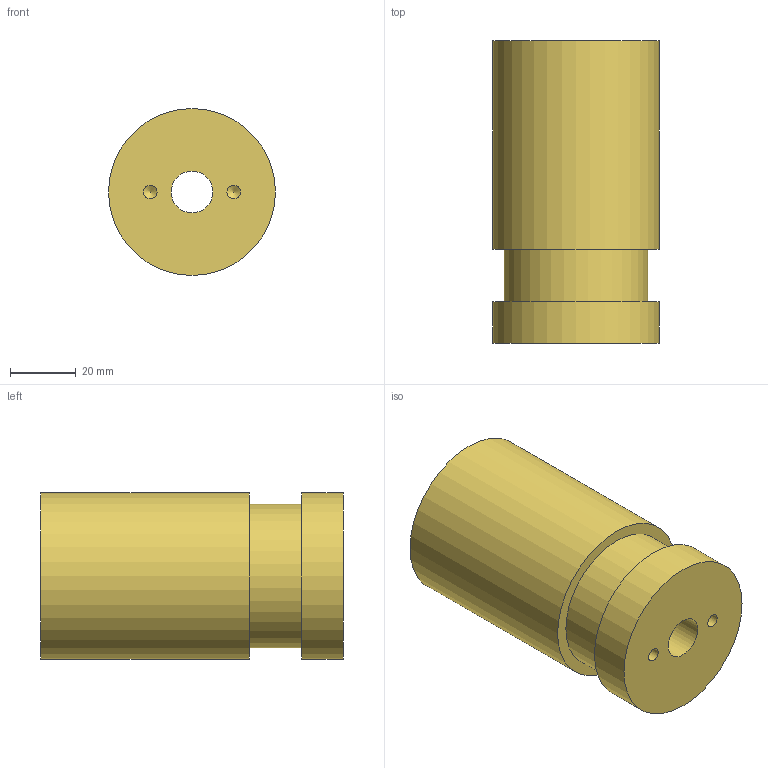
import math

import cadquery as cq

body_diameter = 50.8
neck_diameter = 43.66
bore_diameter = 12.7
head_length = 12.7
neck_length = 15.875
barrel_length = 63.5

drill_diameter = 4.1
drill_spacing = 25.4
drill_depth = head_length
drill_point_angle = 118

total_length = head_length + neck_length + barrel_length
front_y = -total_length / 2
neck_y = front_y + head_length
barrel_y = neck_y + neck_length


def cylinder(diameter, start_y, length):
    """Cylinder around the Y axis, growing toward +Y from start_y."""
    base = cq.Workplane("XZ", origin=(0, start_y, 0))
    return base.circle(diameter / 2).extrude(-length)


def drilled_hole(x):
    """Cutter for a blind hole with a conical bottom, entering the front face at x."""
    radius = drill_diameter / 2
    point_length = radius / math.tan(math.radians(drill_point_angle / 2))
    half_section = (
        cq.Workplane("XY", origin=(x, front_y, 0))
        .lineTo(radius, 0)
        .lineTo(radius, drill_depth)
        .lineTo(0, drill_depth + point_length)
        .close()
    )
    return half_section.revolve(360, (0, 0, 0), (0, 1, 0))


head = cylinder(body_diameter, front_y, head_length)
neck = cylinder(neck_diameter, neck_y, neck_length)
barrel = cylinder(body_diameter, barrel_y, barrel_length)
body = head.union(neck).union(barrel)

body = body.cut(cylinder(bore_diameter, front_y, total_length))
for side in (-1, 1):
    body = body.cut(drilled_hole(side * drill_spacing / 2))

result = body